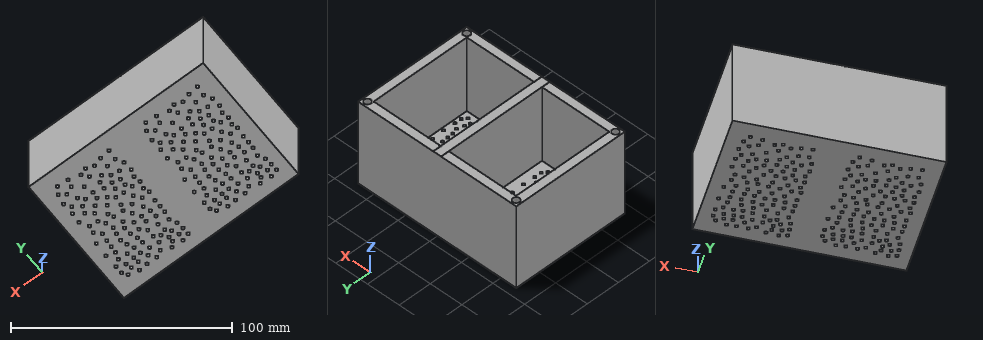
import cadquery as cq

LENGTH = 100.0
WIDTH = 70.0
HEIGHT = 50.0
WALL = 5.0
FLOOR = 5.0

DIVIDER_THICKNESS = 5.0
DIVIDER_RISE = 0.1

CELL_LENGTH = (LENGTH - 2 * WALL - DIVIDER_THICKNESS) / 2
CELL_WIDTH = WIDTH - 2 * WALL
CELL_CENTRE_X = (DIVIDER_THICKNESS + CELL_LENGTH) / 2

CORNER_HOLE_DIAMETER = 4.0
CORNER_HOLE_INSET = 3.0
CORNER_HOLE_DEPTH = 10.0

DRAIN_DIAMETER = 1.5

PATTERN_SHIFT_X = 3.45
PATTERN_SHIFT_Y = -0.45

DRAIN_POINTS = [
    (12.3, 27.6), (-17.0, 27.3), (6.5, 27.2), (-3.2, 26.8), (-11.7, 26.7), (0.4, 25.6),
    (-7.2, 25.4), (14.6, 24.1), (7.5, 23.6), (-2.1, 22.6), (-16.6, 22.3), (11.4, 21.9),
    (-11.7, 21.7), (2.9, 20.0), (-6.8, 19.7), (15.5, 19.0), (-18.7, 18.5), (8.7, 17.5),
    (-4.1, 17.4), (-10.2, 17.2), (-14.5, 16.5), (13.4, 15.7), (1.5, 15.4), (6.2, 14.9),
    (-8.3, 14.0), (-3.7, 13.9), (-19.1, 13.7), (-12.3, 13.0), (9.4, 12.9), (15.3, 12.8),
    (1.8, 12.1), (-7.5, 10.6), (-17.9, 10.2), (-2.1, 9.6), (4.8, 9.6), (-12.3, 9.5),
    (10.8, 9.5), (15.6, 7.6), (-5.1, 7.1), (-14.4, 6.9), (-9.4, 6.8), (7.3, 6.7),
    (-18.6, 6.6), (0.4, 6.4), (13.0, 3.2), (-17.7, 3.0), (-11.8, 2.9), (-4.7, 2.8),
    (2.8, 2.8), (8.6, 2.7), (1.5, 0.2), (-18.7, 0.0), (-8.9, 0.0), (-3.6, -0.1),
    (6.4, -0.2), (-14.4, -0.3), (13.7, -0.4), (10.8, -3.4), (-6.1, -3.7), (5.1, -4.1),
    (-12.1, -4.1), (-0.3, -4.3), (-18.1, -4.9), (15.9, -5.5), (11.3, -7.3), (1.1, -7.3),
    (5.8, -7.3), (-8.5, -7.4), (-3.9, -7.7), (-13.3, -7.7), (-18.2, -8.6), (-8.6, -10.6),
    (11.6, -10.9), (6.3, -11.0), (0.8, -11.1), (-13.7, -11.3), (-3.6, -11.7), (-18.1, -12.1),
    (16.3, -13.0), (5.3, -14.3), (11.8, -14.3), (-6.5, -14.5), (-0.4, -14.7), (-11.9, -15.1),
    (-17.3, -16.3), (3.7, -17.6), (12.9, -17.8), (-0.9, -17.9), (8.0, -18.1), (-6.5, -18.5),
    (-12.6, -19.1), (-19.1, -19.8), (16.0, -20.0), (-9.6, -20.2), (-14.8, -21.4), (3.1, -21.4),
    (7.0, -21.5), (11.6, -21.8), (-1.8, -21.9), (-6.8, -22.4), (-11.9, -23.2), (-19.6, -23.5),
    (15.9, -24.0), (6.6, -24.3), (1.1, -24.5), (10.8, -24.6), (-16.4, -24.8), (-11.9, -25.8),
    (-4.8, -25.9), (14.1, -26.5), (-19.7, -27.2), (4.1, -27.6), (-1.4, -27.6), (8.7, -27.9),
    (-9.8, -28.0), (-15.9, -28.3),
]


def make_box():
    """Solid outer block with the divider strip raised along its top."""
    block = cq.Workplane("XY").box(LENGTH, WIDTH, HEIGHT, centered=(True, True, False))
    divider = cq.Workplane("XY").box(
        DIVIDER_THICKNESS, WIDTH, HEIGHT + DIVIDER_RISE, centered=(True, True, False)
    )
    return block.union(divider)


def cut_compartments(body):
    """Hollow out both compartments from the rim down to the floor."""
    cells = (
        cq.Workplane("XY")
        .workplane(offset=FLOOR)
        .pushPoints([(-CELL_CENTRE_X, 0), (CELL_CENTRE_X, 0)])
        .rect(CELL_LENGTH, CELL_WIDTH)
        .extrude(HEIGHT - FLOOR)
    )
    return body.cut(cells)


def cut_corner_holes(body):
    """Drill a blind hole down from the rim at each corner."""
    holes = (
        cq.Workplane("XY")
        .workplane(offset=HEIGHT)
        .rect(LENGTH - 2 * CORNER_HOLE_INSET, WIDTH - 2 * CORNER_HOLE_INSET, forConstruction=True)
        .vertices()
        .circle(CORNER_HOLE_DIAMETER / 2)
        .extrude(-CORNER_HOLE_DEPTH)
    )
    return body.cut(holes)


def cut_drain_holes(body, pattern_x, pattern_y):
    """Pierce the floor with one copy of the drain pattern."""
    centres = [(pattern_x + x, pattern_y + y) for x, y in DRAIN_POINTS]
    holes = (
        cq.Workplane("XY")
        .pushPoints(centres)
        .circle(DRAIN_DIAMETER / 2)
        .extrude(FLOOR)
    )
    return body.cut(holes)


result = make_box()
result = cut_compartments(result)
result = cut_corner_holes(result)
result = cut_drain_holes(result, -CELL_CENTRE_X, 0)
result = cut_drain_holes(result, CELL_CENTRE_X + PATTERN_SHIFT_X, PATTERN_SHIFT_Y)